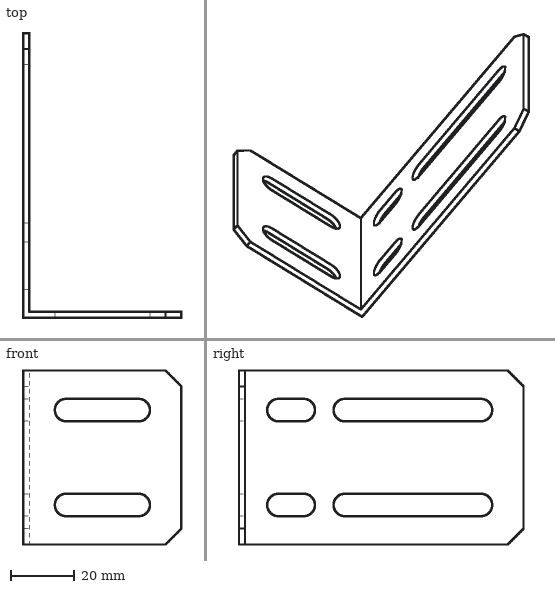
import cadquery as cq

short_leg = 50.0
long_leg = 90.0
height = 55.0
thickness = 2.0
corner_chamfer = 5.0

slot_width = 7.0
row_spacing = 30.0
end_margin = 10.0
short_leg_slot_length = 30.0
long_leg_slot_length = 50.0
bend_slot_length = 15.0
bend_slot_margin = 9.0


def leg(plane, length):
    """Flat leg starting at the bend."""
    return (
        cq.Workplane(plane)
        .rect(length, height)
        .extrude(-thickness)
        .translate(cq.Workplane(plane).plane.xDir * (length / 2))
    )


def slot_pair(plane, start, length):
    """Cutters for one slot in each row, beginning at a distance from the bend."""
    center = start + length / 2
    rows = [(center, -row_spacing / 2), (center, row_spacing / 2)]
    return (
        cq.Workplane(plane)
        .pushPoints(rows)
        .slot2D(length, slot_width)
        .extrude(thickness, both=True)
    )


short_plane = cq.Plane(origin=(0, 0, 0), xDir=(1, 0, 0), normal=(0, -1, 0))
long_plane = cq.Plane(origin=(0, 0, 0), xDir=(0, 1, 0), normal=(1, 0, 0))

short_plate = leg(short_plane, short_leg).edges("|Y and >X").chamfer(corner_chamfer)
long_plate = (
    leg(long_plane, long_leg)
    .translate((thickness, 0, 0))
    .edges("|X and >Y")
    .chamfer(corner_chamfer)
)
bracket = short_plate.union(long_plate)

short_leg_slot_start = short_leg - end_margin - short_leg_slot_length
long_leg_slot_start = long_leg - end_margin - long_leg_slot_length

result = (
    bracket
    .cut(slot_pair(short_plane, short_leg_slot_start, short_leg_slot_length))
    .cut(slot_pair(long_plane, long_leg_slot_start, long_leg_slot_length))
    .cut(slot_pair(long_plane, bend_slot_margin, bend_slot_length))
)